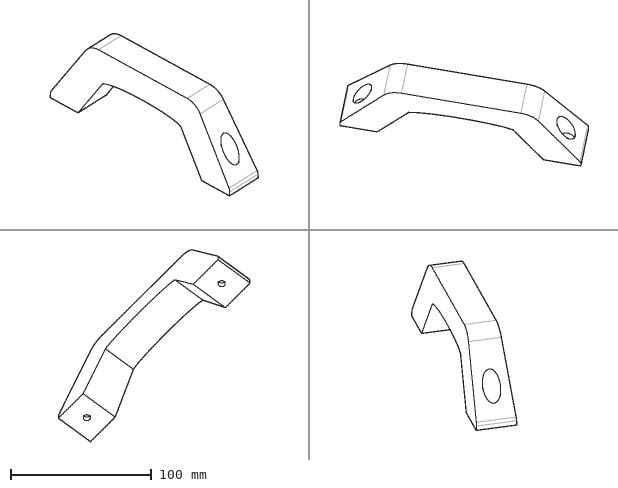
import math

import cadquery as cq

length = 174.0
base_width = 30.0
height = 62.0

foot_length = 27.0
foot_edge_height = 5.0
leg_angle = 58.0
shoulder_radius = 15.0
foot_edge_radius = 5.0

grip_clearance = 40.0
arch_half_span = 38.7
arch_rise = 5.8

draft_angle = 3.0

hole_spacing = 147.0
hole_diameter = 5.0
counterbore_diameter = 13.0
counterbore_floor = 5.0

half_length = length / 2
half_width = base_width / 2
half_opening = half_length - foot_length
leg_slope = math.tan(math.radians(leg_angle))
half_top = half_length - (height - foot_edge_height) / leg_slope


def profile_plane(z=0.0):
    """XZ workplane on the +Y side; extruding by base_width spans the whole part."""
    return cq.Workplane("XZ", origin=(0, half_width, z))


def extrude_outline(points):
    """Extrude a closed XZ outline across the full base width."""
    return profile_plane().polyline(points).close().extrude(base_width)


def outer_block():
    """Outer outline without the opening, with rounded shoulders and foot edges."""
    block = extrude_outline([
        (-half_length, 0),
        (-half_length, foot_edge_height),
        (-half_top, height),
        (half_top, height),
        (half_length, foot_edge_height),
        (half_length, 0),
    ])
    rounded_corners = [
        (half_top, height, shoulder_radius),
        (half_length, foot_edge_height, foot_edge_radius),
    ]
    for x, z, radius in rounded_corners:
        for side in (-1, 1):
            corner = cq.selectors.NearestToPointSelector((side * x, 0, z))
            block = block.edges("|Y").edges(corner).fillet(radius)
    return block


def hand_opening():
    """Space between the legs: a wedge capped by the elliptical arch."""
    wedge = extrude_outline([
        (-half_opening, 0),
        (half_opening, 0),
        (0, half_opening * leg_slope),
    ])
    arch_base = grip_clearance - arch_rise
    arch = profile_plane(arch_base).ellipse(arch_half_span, arch_rise).extrude(base_width)
    below_arch = cq.Workplane("XY").box(length, base_width, arch_base, centered=(True, True, False))
    return wedge.intersect(below_arch.union(arch))


def draft_envelope():
    """Trapezoidal bar that tapers the long sides towards the top."""
    half_crest = half_width - height * math.tan(math.radians(draft_angle))
    return (
        cq.Workplane("YZ", origin=(-half_length, 0, 0))
        .polyline([(-half_width, 0), (half_width, 0), (half_crest, height), (-half_crest, height)])
        .close()
        .extrude(length)
    )


def screw_holes():
    """Vertical clearance holes with counterbores opening through the sloped legs."""
    centers = [(-hole_spacing / 2, 0), (hole_spacing / 2, 0)]
    clearance = cq.Workplane("XY").pushPoints(centers).circle(hole_diameter / 2).extrude(height)
    counterbores = (
        cq.Workplane("XY", origin=(0, 0, counterbore_floor))
        .pushPoints(centers)
        .circle(counterbore_diameter / 2)
        .extrude(height - counterbore_floor)
    )
    return clearance.union(counterbores)


handle = outer_block().cut(hand_opening())
result = handle.intersect(draft_envelope()).cut(screw_holes())